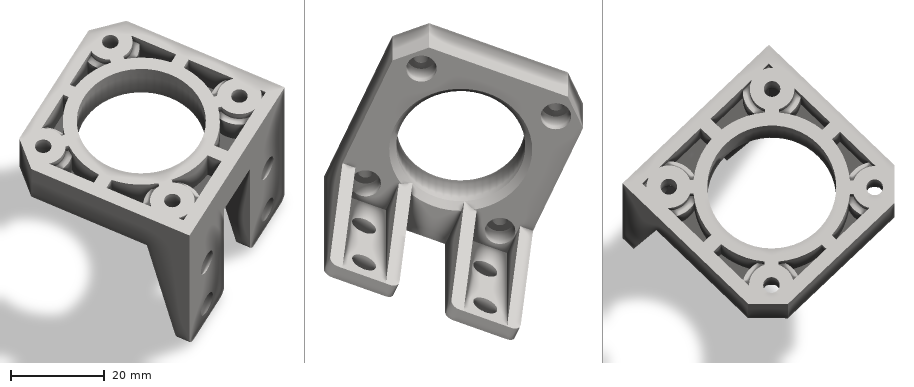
import cadquery as cq
import math

side = 44.0
height = 40.0
plate_height = 10.0
wall = 3.0
corner_chamfer = 6.0

axis_from_front = 21.0
bore_diameter = 27.5
screw_pitch = 31.0
screw_diameter = 3.5
screw_head_diameter = 6.5
step_depth = 1.75
bore_chamfer_size = 1.5

leg_width = 16.0
leg_depth = 10.25
leg_corner_radius = 2.0
leg_hole_diameter = 5.5
leg_hole_pitch = 15.0
upper_hole_below_plate = 9.6

front_x = -axis_from_front
back_x = front_x + side
centre_x = (front_x + back_x) / 2
half_side = side / 2
ring_diameter = bore_diameter + 2 * wall
boss_diameter = screw_diameter + 2 * wall
lower_boss_diameter = screw_head_diameter + 2 * wall
pocket_depth = plate_height - wall
screw_points = [(sx * screw_pitch / 2, sy * screw_pitch / 2) for sx in (-1, 1) for sy in (-1, 1)]


def plane_below_top(depth):
    """Horizontal workplane lying `depth` below the top face."""
    return cq.Workplane("XY", origin=(0, 0, -depth))


def outer_block():
    """Square plate with its two front corners cut off."""
    return (
        plane_below_top(plate_height)
        .center(centre_x, 0)
        .rect(side, side)
        .extrude(plate_height)
        .edges("|Z and <X")
        .chamfer(corner_chamfer)
    )


def pockets():
    """Space inside the rim that is left open between the ring, ribs and screw bosses."""
    base = plane_below_top(pocket_depth)
    inner = side - 2 * wall
    space = base.center(centre_x, 0).rect(inner, inner).extrude(pocket_depth)
    space = space.cut(base.circle(ring_diameter / 2).extrude(pocket_depth))
    screw_diagonal = math.hypot(screw_pitch, screw_pitch)
    for angle, length in ((0, 2 * side), (90, 2 * side), (45, screw_diagonal), (135, screw_diagonal)):
        rib = base.rect(length, wall).extrude(pocket_depth)
        space = space.cut(rib.rotate((0, 0, 0), (0, 0, 1), angle))
    space = space.cut(base.pushPoints(screw_points).circle(boss_diameter / 2).extrude(pocket_depth))
    lower_bosses = (
        base.pushPoints(screw_points).circle(lower_boss_diameter / 2).extrude(pocket_depth - step_depth)
    )
    return space.cut(lower_bosses)


def leg(side_sign):
    """Channel-shaped leg: a web along the back with a tapering flange on each edge."""
    leg_y = side_sign * (half_side - leg_width / 2)
    leg_length = height - plate_height
    leg_top = -plate_height + bore_chamfer_size
    slope = (leg_depth - wall) / leg_length
    top_depth = leg_depth + slope * bore_chamfer_size
    profile = [
        (back_x, leg_top),
        (back_x - top_depth, leg_top),
        (back_x - wall, -height),
        (back_x, -height),
    ]
    body = (
        cq.Workplane("XZ", origin=(0, leg_y + leg_width / 2, 0))
        .polyline(profile)
        .close()
        .extrude(leg_width)
    )
    channel = (
        cq.Workplane("XY", origin=(back_x - wall - side / 2, leg_y, -height))
        .rect(side, leg_width - 2 * wall)
        .extrude(leg_length + bore_chamfer_size)
    )
    rounded_outline = (
        cq.Workplane("XY", origin=(centre_x, leg_y, -height))
        .rect(side, leg_width)
        .extrude(height)
        .edges("|X and <Z")
        .fillet(leg_corner_radius)
    )
    upper_z = -plate_height - upper_hole_below_plate
    holes = (
        cq.Workplane("YZ", origin=(back_x - leg_depth, 0, 0))
        .pushPoints([(leg_y, upper_z), (leg_y, upper_z - leg_hole_pitch)])
        .circle(leg_hole_diameter / 2)
        .extrude(leg_depth)
    )
    return body.intersect(rounded_outline).cut(channel).cut(holes)


def bore():
    """Motor opening through the whole plate."""
    return plane_below_top(plate_height).circle(bore_diameter / 2).extrude(plate_height)


def bore_chamfer():
    """Cone that breaks the lower edge of the bore."""
    return (
        plane_below_top(plate_height)
        .circle(bore_diameter / 2 + bore_chamfer_size)
        .workplane(offset=bore_chamfer_size)
        .circle(bore_diameter / 2)
        .loft(ruled=True)
    )


def screw_holes():
    """Through holes, with screw-head recesses opening at the underside of the plate."""
    base = plane_below_top(plate_height).pushPoints(screw_points)
    recess_depth = plate_height - step_depth - wall
    holes = base.circle(screw_diameter / 2).extrude(plate_height)
    recesses = base.circle(screw_head_diameter / 2).extrude(recess_depth)
    return holes.union(recesses)


plate = outer_block().cut(pockets()).cut(bore_chamfer())
bracket = plate.union(leg(-1)).union(leg(1))
result = bracket.cut(bore()).cut(screw_holes())